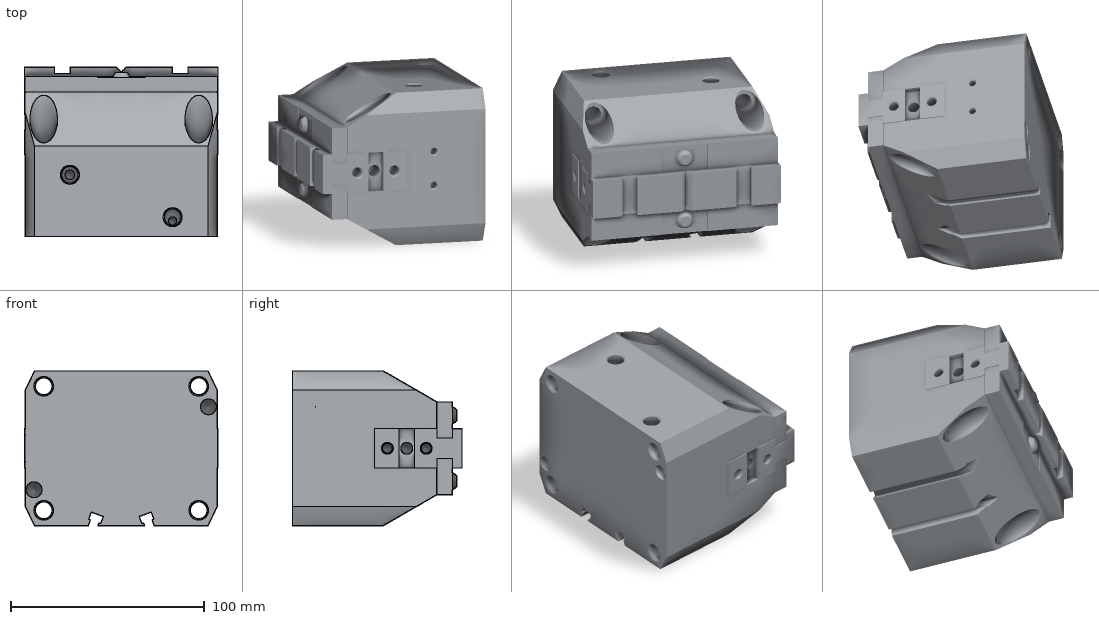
import cadquery as cq
import math

JAW_SPAN = 100.0
BODY_WIDTH = 99.2
BODY_HEIGHT = 80.0
CORNER_X, CORNER_Z = 4.8, 10.0
BEVEL_START_Y = 46.8
COVER_START_Y = 74.5
COVER_END_Y = 82.5
COVER_HALF_HEIGHT = 24.0
SEAM_WIDTH, SEAM_DEPTH = 0.2, 0.5
DRILL_POINT_ANGLE = 118.0

JAW_END_Y = 87.5
JAW_BASE_Y = 42.3
JAW_HALF_HEIGHT = 10.2
NECK_HALF_HEIGHT = 5.3
JAW_GAP = 0.3
TIP_CHAMFER = 2.4
KEYWAY_X, KEYWAY_WIDTH, KEYWAY_DEPTH = 30.4, 8.0, 3.2
RELIEF_Y, RELIEF_WIDTH, RELIEF_DEPTH = 59.0, 8.0, 3.3
JAW_HOLE_PITCH = 10.0
JAW_THREAD_DIAMETER = 5.0
JAW_HOLE_DIAMETER = 6.1
JAW_HOLE_DEPTH = 12.0

MOUNT_X, MOUNT_Z = 40.0, 32.0
MOUNT_DIAMETER, MOUNT_MOUTH = 8.6, 10.1
SCREW_POCKET_DIAMETER = 14.2
DOWEL_X, DOWEL_Z = 45.0, 21.4
DOWEL_DIAMETER, DOWEL_DEPTH = 8.2, 12.0

PORT_X = 26.5
REAR_PORT_Y, FRONT_PORT_Y = 31.9, 10.0
PORT_DIAMETER, PORT_MOUTH, PORT_DEPTH = 8.6, 9.8, 8.0
REAR_DUCT_DIAMETER = 5.0
FRONT_DUCT_DIAMETER, FRONT_DUCT_OFFSET = 4.2, 1.9
DUCT_DEPTH = 14.0

SIDE_HOLE_Y, SIDE_HOLE_Z = 27.6, 8.9
SIDE_HOLE_DIAMETER, SIDE_HOLE_MOUTH, SIDE_HOLE_DEPTH = 3.3, 4.4, 8.0

GROOVE_TILT = 20.0
GROOVE_X, GROOVE_FLOOR_Z = 12.4, -34.1
GROOVE_WIDTH, GROOVE_DEPTH, GROOVE_MOUTH = 6.5, 3.8, 4.6
GROOVE_REACH = 10.0

SCREW_Z = 17.0
SCREW_HEAD_DIAMETER, SCREW_TOP_DIAMETER = 9.0, 5.6
SCREW_TOP_Y = 84.8
SCREW_BULGE = 0.2
SCREW_RECESS_WIDTH, SCREW_RECESS_DEPTH = 24.6, 0.4


def drilled_hole(diameter, depth, mouth=None):
    """Blind hole cutter from the origin towards +Z: pointed end, optional 45 degree countersink."""
    radius = diameter / 2
    point = radius / math.tan(math.radians(DRILL_POINT_ANGLE / 2))
    profile = cq.Workplane("XZ").moveTo(0, 0)
    if mouth:
        profile = profile.lineTo(mouth / 2, 0).lineTo(radius, mouth / 2 - radius)
    else:
        profile = profile.lineTo(radius, 0)
    profile = profile.lineTo(radius, depth).lineTo(0, depth + point).close()
    return profile.revolve(360, (0, 0, 0), (0, 1, 0))


def hole_along_x(x, y, z, diameter, depth, mouth=None):
    """Blind hole running towards +X."""
    return drilled_hole(diameter, depth, mouth).rotate((0, 0, 0), (0, 1, 0), 90).translate((x, y, z))


def hole_along_y(x, z, diameter, depth, mouth=None):
    """Blind hole running from the front face towards +Y."""
    return drilled_hole(diameter, depth, mouth).rotate((0, 0, 0), (1, 0, 0), -90).translate((x, 0, z))


def hole_down(x, y, z, diameter, depth, mouth=None):
    """Blind hole running towards -Z."""
    return drilled_hole(diameter, depth, mouth).rotate((0, 0, 0), (1, 0, 0), 180).translate((x, y, z))


def box_between(x0, x1, y0, y1, z0, z1):
    return cq.Workplane("XY").box(x1 - x0, y1 - y0, z1 - z0, centered=False).translate((x0, y0, z0))


def jaw_profile(length):
    """T-slot section of the jaw guide, centred on x = 0."""
    upper_half = [
        (JAW_BASE_Y, JAW_HALF_HEIGHT),
        (COVER_START_Y, JAW_HALF_HEIGHT),
        (COVER_START_Y, NECK_HALF_HEIGHT),
        (COVER_END_Y, NECK_HALF_HEIGHT),
        (COVER_END_Y, JAW_HALF_HEIGHT),
        (JAW_END_Y, JAW_HALF_HEIGHT),
    ]
    lower_half = [(y, -z) for y, z in reversed(upper_half)]
    return cq.Workplane("YZ").polyline(upper_half + lower_half).close().extrude(length / 2, both=True)


def housing_block():
    """Block with bevelled long edges, tapered in height towards the cover plates."""
    half_width, half_height = BODY_WIDTH / 2, BODY_HEIGHT / 2
    quarter = [(half_width - CORNER_X, half_height), (half_width, half_height - CORNER_Z)]
    right = quarter + [(x, -z) for x, z in reversed(quarter)]
    left = [(-x, z) for x, z in reversed(right)]
    section = cq.Workplane("XZ").polyline(right + left).close().extrude(-COVER_START_Y)

    upper = [(0, half_height), (BEVEL_START_Y, half_height), (COVER_START_Y, COVER_HALF_HEIGHT)]
    lower = [(y, -z) for y, z in reversed(upper)]
    taper = cq.Workplane("YZ").polyline(upper + lower).close().extrude(half_width, both=True)
    return section.intersect(taper)


def cover_plates():
    """Plates that hold the jaws, each with a shallow recess around its screw."""
    half_width = BODY_WIDTH / 2
    plates = box_between(-half_width, half_width, COVER_START_Y, COVER_END_Y,
                         -COVER_HALF_HEIGHT, COVER_HALF_HEIGHT)
    recess_x = SCREW_RECESS_WIDTH / 2
    recess = box_between(-recess_x, recess_x, COVER_END_Y - SCREW_RECESS_DEPTH, COVER_END_Y,
                         -COVER_HALF_HEIGHT, COVER_HALF_HEIGHT)
    return plates.cut(recess)


def end_seam(side):
    """Slit in one end face, where the cover plates meet the block; side is -1 or 1."""
    depth, height = SEAM_DEPTH, 2 * COVER_HALF_HEIGHT
    slit = cq.Workplane("XY").box(depth, SEAM_WIDTH, height)
    return slit.translate((side * (BODY_WIDTH - depth) / 2, COVER_START_Y - SEAM_WIDTH / 2, 0))


def cover_screw(z):
    """Button head with a domed flank, standing in the recess of a cover plate."""
    base_y = COVER_END_Y - SCREW_RECESS_DEPTH
    base_radius, top_radius = SCREW_HEAD_DIAMETER / 2, SCREW_TOP_DIAMETER / 2
    dome = ((base_radius + top_radius) / 2 + SCREW_BULGE, (base_y + SCREW_TOP_Y) / 2 + SCREW_BULGE)
    profile = (
        cq.Workplane("XY")
        .moveTo(0, base_y)
        .lineTo(base_radius, base_y)
        .threePointArc(dome, (top_radius, SCREW_TOP_Y))
        .lineTo(0, SCREW_TOP_Y)
        .close()
    )
    return profile.revolve(360, (0, 0, 0), (0, 1, 0)).translate((0, 0, z))


def mounting_hole(x, z):
    """Through hole with a countersunk mouth and a pocket for the screw head behind it."""
    hole = hole_along_y(x, z, MOUNT_DIAMETER, COVER_START_Y, MOUNT_MOUTH)
    pocket = (
        cq.Workplane("XZ", origin=(x, BEVEL_START_Y, z))
        .circle(SCREW_POCKET_DIAMETER / 2)
        .extrude(BEVEL_START_Y - COVER_START_Y)
    )
    return hole.union(pocket)


def air_port(x, y, duct_diameter, duct_offset=0):
    """Countersunk flat-bottomed port with a narrower duct in its floor."""
    top = BODY_HEIGHT / 2
    bore = cq.Workplane("XY", origin=(x, y, top)).circle(PORT_DIAMETER / 2).extrude(-PORT_DEPTH)
    countersink = (
        cq.Workplane("XY", origin=(x, y, top))
        .circle(PORT_MOUTH / 2)
        .workplane(offset=(PORT_DIAMETER - PORT_MOUTH) / 2)
        .circle(PORT_DIAMETER / 2)
        .loft()
    )
    duct = hole_down(x, y - duct_offset, top, duct_diameter, DUCT_DEPTH)
    return bore.union(countersink).union(duct)


def sensor_groove(side):
    """Tilted undercut groove on one side of the bottom face; side is -1 or 1."""
    head = box_between(-GROOVE_WIDTH / 2, GROOVE_WIDTH / 2, 0, COVER_START_Y, -GROOVE_DEPTH, 0)
    mouth = box_between(-GROOVE_MOUTH / 2, GROOVE_MOUTH / 2, 0, COVER_START_Y, -GROOVE_REACH, 0)
    groove = head.union(mouth).rotate((0, 0, 0), (0, 1, 0), -side * GROOVE_TILT)
    return groove.translate((side * GROOVE_X, 0, GROOVE_FLOOR_Z))


def make_housing():
    housing = housing_block().union(cover_plates())
    housing = housing.cut(jaw_profile(JAW_SPAN))
    for side in (-1, 1):
        housing = housing.union(cover_screw(side * SCREW_Z))
        housing = housing.cut(end_seam(side))
        housing = housing.cut(sensor_groove(side))
        housing = housing.cut(hole_along_y(side * DOWEL_X, side * DOWEL_Z, DOWEL_DIAMETER, DOWEL_DEPTH))
        housing = housing.cut(
            hole_along_x(-BODY_WIDTH / 2, SIDE_HOLE_Y, side * SIDE_HOLE_Z,
                         SIDE_HOLE_DIAMETER, SIDE_HOLE_DEPTH, SIDE_HOLE_MOUTH)
        )
        for level in (-1, 1):
            housing = housing.cut(mounting_hole(side * MOUNT_X, level * MOUNT_Z))
    housing = housing.cut(air_port(-PORT_X, REAR_PORT_Y, REAR_DUCT_DIAMETER))
    housing = housing.cut(air_port(PORT_X, FRONT_PORT_Y, FRONT_DUCT_DIAMETER, FRONT_DUCT_OFFSET))
    return housing


def make_left_jaw():
    """Jaw on the -X side, reaching from the outer end to the middle gap."""
    outer_x, inner_x = -JAW_SPAN / 2, -JAW_GAP / 2
    height = (-JAW_HALF_HEIGHT, JAW_HALF_HEIGHT)
    jaw = jaw_profile(JAW_SPAN).intersect(box_between(outer_x, inner_x, JAW_BASE_Y, JAW_END_Y, *height))

    tip = cq.Workplane("XY").polyline([
        (inner_x, JAW_END_Y),
        (inner_x - TIP_CHAMFER, JAW_END_Y),
        (inner_x, JAW_END_Y - TIP_CHAMFER),
    ]).close().extrude(JAW_HALF_HEIGHT, both=True)
    jaw = jaw.cut(tip)

    keyway_start = -KEYWAY_X - KEYWAY_WIDTH / 2
    jaw = jaw.cut(box_between(keyway_start, keyway_start + KEYWAY_WIDTH,
                              JAW_END_Y - KEYWAY_DEPTH, JAW_END_Y, *height))
    relief_start = RELIEF_Y - RELIEF_WIDTH / 2
    jaw = jaw.cut(box_between(outer_x, outer_x + RELIEF_DEPTH,
                              relief_start, relief_start + RELIEF_WIDTH, *height))

    jaw = jaw.cut(hole_along_x(outer_x + RELIEF_DEPTH, RELIEF_Y, 0, JAW_HOLE_DIAMETER, JAW_HOLE_DEPTH))
    for side in (-1, 1):
        jaw = jaw.cut(
            hole_along_x(outer_x, RELIEF_Y + side * JAW_HOLE_PITCH, 0,
                         JAW_THREAD_DIAMETER, JAW_HOLE_DEPTH, JAW_HOLE_DIAMETER)
        )
    return jaw


def make_jaw(side):
    """Jaw on the chosen side, -1 or 1; the two are mirror images."""
    jaw = make_left_jaw()
    return jaw if side < 0 else jaw.mirror("YZ")


housing = make_housing()
jaws = [make_jaw(side) for side in (-1, 1)]

result = cq.Compound.makeCompound([housing.solids().val(), *[jaw.solids().val() for jaw in jaws]])